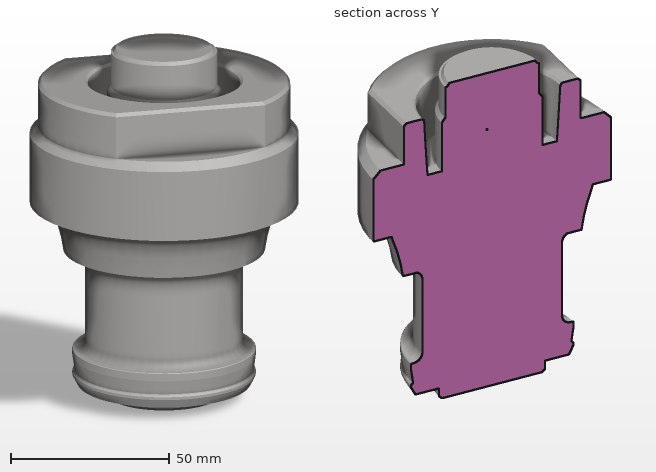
import cadquery as cq
import math

foot_top = 3.9
flange_top = 15.7
skirt_bottom = 48.1
body_bottom = 63.6
body_top = 89.0
head_top = 103.7
stem_top = 114.4

foot_radius = 38.0 / 2
foot_bevel_width = 1.1
foot_bevel_height = 1.0
flange_radius = 58.0 / 2
flange_bottom_bevel_width = 1.6
rim_bottom = 6.9
rim_top = 7.8
groove_bottom = 8.6
groove_depth = 0.7
taper_top = 13.0
flange_top_bevel = 0.2

neck_radius = 50.0 / 2
neck_lower_fillet = 3.1
neck_upper_fillet = 3.0
neck_upper_flare = 1.8
skirt_bottom_radius = 31.9
skirt_top_radius = 71.2 / 2
skirt_top = 62.4
skirt_sag = 0.5
skirt_edge_bevel = 0.2

body_radius = 85.0 / 2
body_bevel = 2.6
head_radius = body_radius - body_bevel
head_bevel = 1.0
flat_spacing = 63.1

recess_radius = 50.0 / 2
recess_bevel = 0.8
recess_floor_radius = 23.0
recess_depth = 20.8
recess_floor = head_top - recess_depth

stem_radius = 33.6 / 2
stem_ledge = 0.7
stem_bevel_width = 0.9
stem_bevel_height = 1.1
stem_base_radius = 36.0 / 2
stem_shoulder = 102.0
stem_shoulder_height = 1.5


def revolve(outline):
    """Turn a closed radius-height outline about the Z axis."""
    return outline.close().revolve(360, (0, 0, 0), (0, 1, 0))


def make_lower_body():
    """Foot, grooved flange, neck, skirt and main body as one turned solid."""
    fillet_mid = neck_lower_fillet * (1 - math.sqrt(0.5))
    flare_height = math.sqrt(neck_upper_fillet**2 - (neck_upper_fillet - neck_upper_flare) ** 2)
    flare_half_angle = math.asin(flare_height / neck_upper_fillet) / 2
    flare_start = skirt_bottom - flare_height
    flare_mid = (
        neck_radius + neck_upper_fillet * (1 - math.cos(flare_half_angle)),
        flare_start + neck_upper_fillet * math.sin(flare_half_angle),
    )
    skirt_mid = (
        (skirt_bottom_radius + skirt_top_radius) / 2 - skirt_sag,
        (skirt_bottom + skirt_top) / 2,
    )
    outline = (
        cq.Workplane("XZ")
        .lineTo(foot_radius - foot_bevel_width, 0)
        .lineTo(foot_radius, foot_bevel_height)
        .lineTo(foot_radius, foot_top)
        .lineTo(flange_radius - flange_bottom_bevel_width, foot_top)
        .lineTo(flange_radius, rim_bottom)
        .lineTo(flange_radius, rim_top)
        .lineTo(flange_radius - groove_depth, groove_bottom)
        .lineTo(flange_radius, taper_top)
        .lineTo(flange_radius, flange_top - flange_top_bevel)
        .lineTo(flange_radius - flange_top_bevel, flange_top)
        .lineTo(neck_radius + neck_lower_fillet, flange_top)
        .threePointArc(
            (neck_radius + fillet_mid, flange_top + fillet_mid),
            (neck_radius, flange_top + neck_lower_fillet),
        )
        .lineTo(neck_radius, flare_start)
        .threePointArc(flare_mid, (neck_radius + neck_upper_flare, skirt_bottom))
        .lineTo(skirt_bottom_radius, skirt_bottom)
        .threePointArc(skirt_mid, (skirt_top_radius, skirt_top))
        .lineTo(skirt_top_radius + skirt_edge_bevel, body_bottom)
        .lineTo(body_radius, body_bottom)
        .lineTo(body_radius, body_top - body_bevel)
        .lineTo(head_radius, body_top)
        .lineTo(0, body_top)
    )
    return revolve(outline)


def make_head():
    """Round head with two flats facing X and a bevelled top edge."""
    head_height = head_top - body_top
    head_disc = cq.Workplane("XY").workplane(offset=body_top).circle(head_radius).extrude(head_height)
    flats = (
        cq.Workplane("XY")
        .workplane(offset=body_top)
        .rect(flat_spacing, 2 * body_radius)
        .extrude(head_height)
    )
    return head_disc.intersect(flats).faces(">Z").edges().chamfer(head_bevel)


def make_recess():
    """Tapered round pocket with a bevelled mouth."""
    outline = (
        cq.Workplane("XZ")
        .moveTo(0, recess_floor)
        .lineTo(recess_floor_radius, recess_floor)
        .lineTo(recess_radius - recess_bevel, head_top - recess_bevel)
        .lineTo(recess_radius, head_top)
        .lineTo(0, head_top)
    )
    return revolve(outline)


def make_stem():
    """Stepped stem standing on the recess floor."""
    outline = (
        cq.Workplane("XZ")
        .moveTo(0, recess_floor)
        .lineTo(stem_base_radius, recess_floor)
        .lineTo(stem_base_radius, stem_shoulder - stem_shoulder_height)
        .lineTo(stem_radius, stem_shoulder)
        .lineTo(stem_radius, stem_top - stem_bevel_height)
        .lineTo(stem_radius - stem_ledge, stem_top - stem_bevel_height)
        .lineTo(stem_radius - stem_ledge - stem_bevel_width, stem_top)
        .lineTo(0, stem_top)
    )
    return revolve(outline)


result = make_lower_body().union(make_head()).cut(make_recess()).union(make_stem())